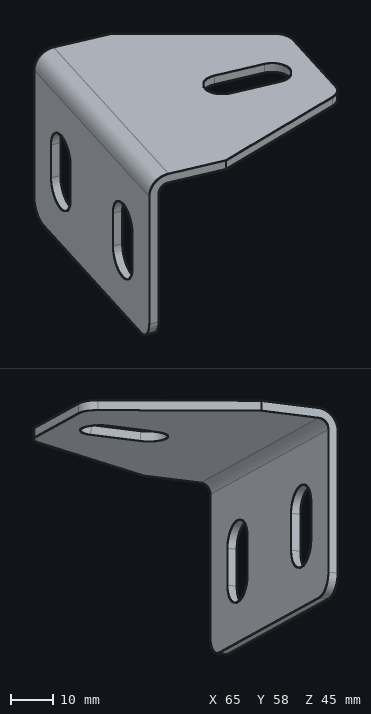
import cadquery as cq

width = 65.0
depth = 58.0
height = 45.0
thickness = 2.5

bend_radius = 5.0
inner_bend_radius = bend_radius - thickness
corner_radius = 5.0

straight_side_depth = 20.0
back_edge_width = 30.0
top_slot_width = 9.0
top_slot_length = 22.0
top_slot_from_back = 17.5

front_slot_width = 11.0
front_slot_length = 20.0
front_slot_spacing = 35.0
front_slot_from_top = 25.0


def bent_sheet():
    """L-shaped sheet, centred on X, with front face at Y = 0 and base at Z = 0."""
    return (
        cq.Workplane("YZ")
        .rect(depth, height)
        .extrude(width / 2, both=True)
        .translate((0, depth / 2, height / 2))
        .cut(
            cq.Workplane("XY")
            .box(width, depth - thickness, height - thickness, centered=(True, False, False))
            .translate((0, thickness, 0))
            .edges("<Y and >Z")
            .fillet(inner_bend_radius)
        )
        .edges("<Y and >Z")
        .fillet(bend_radius)
    )


def top_outline():
    """Tapered plan shape with rounded back corners."""
    return (
        cq.Workplane("XY")
        .moveTo(-width / 2, 0)
        .lineTo(width / 2, 0)
        .lineTo(width / 2, straight_side_depth)
        .lineTo(back_edge_width / 2, depth)
        .lineTo(-back_edge_width / 2, depth)
        .lineTo(-width / 2, straight_side_depth)
        .close()
        .extrude(height)
        .edges("|Z and >Y")
        .fillet(corner_radius)
    )


def front_outline():
    """Front shape with rounded bottom corners, as deep as the bracket."""
    return (
        cq.Workplane("XY")
        .box(width, depth, height, centered=(True, False, False))
        .edges("|Y and <Z")
        .fillet(corner_radius)
    )


def top_slot():
    return (
        cq.Workplane("XY", origin=(0, depth - top_slot_from_back, height))
        .slot2D(top_slot_length, top_slot_width, 90)
        .extrude(-thickness)
    )


def front_slots():
    return (
        cq.Workplane("XZ", origin=(0, 0, height - front_slot_from_top))
        .pushPoints([(side * front_slot_spacing / 2, 0) for side in (-1, 1)])
        .slot2D(front_slot_length, front_slot_width, 90)
        .extrude(-thickness)
    )


bracket = bent_sheet().intersect(top_outline()).intersect(front_outline())
result = bracket.cut(top_slot()).cut(front_slots())